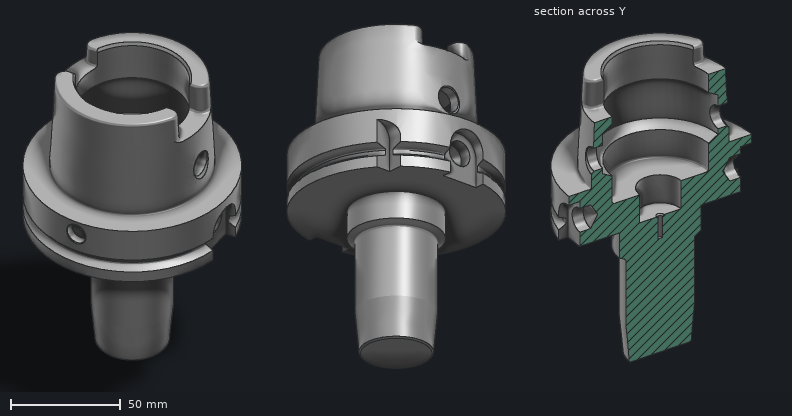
import cadquery as cq
import math


total_length = 149.9
top_z = 49.9
bottom_z = top_z - total_length

taper_top_radius = 35.4
taper_base_radius = 37.8
taper_base_z = 2.7
relief_radius = 37.6
relief_top_z = 1.8
relief_fillet = 0.9
face_groove_radius = 39.3
face_groove_depth = 0.1
rim_fillet = 1.8

bore_radius = 26.2
bore_chamfer_width = 0.9
bore_chamfer_height = 1.5
bore_mouth_depth = 20.0
undercut_radius = 31.5
undercut_angle = 30.0
undercut_bottom_z = 3.0
bore_depth = 61.9
bore_floor_z = top_z - bore_depth
bore_floor_fillet = 1.3

tube_hole_diameter = 22.5
tube_hole_depth = 15.0
coolant_hole_diameter = 2.4
coolant_sink_diameter = 3.9
coolant_hole_depth = 12.0

notch_half_width = 9.7
left_notch_depth = 10.0
right_notch_depth = 15.1
notch_corner_radius = 4.5
notch_floor_fillet = 1.8

cross_hole_diameter = 12.0
cross_hole_z = 15.0
cross_hole_chamfer = 0.9

flange_diameter = 100.0
flange_radius = flange_diameter / 2
flange_bottom_z = -29.0
groove_z = -20.0
groove_mouth_width = 6.9
groove_root_width = 3.0
groove_root_radius = 46.0
groove_fillet = 0.9

slot_radius = 9.9
slot_z = -14.8
slot_depth = 6.0
slot_hole_diameter = 12.5
slot_hole_depth = 6.0
drill_point_angle = 118.0

index_floor_x = -31.3
index_radius = 9.0
index_center_y = -index_floor_x + index_radius
index_center_z = slot_z + slot_radius - index_radius

pocket_diameter = 9.9
pocket_chamfer = 0.5
pocket_z = -7.0
pocket_depth = 4.5
vent_diameter = 1.3
vent_depth = 2.2

neck_radius = 22.5
neck_end_z = -42.3
shaft_radius = 18.9
shaft_start_z = -44.2
shaft_fillet = 1.0
nose_start_z = -79.7
nose_end_radius = 17.1
nose_chamfer = 0.7

pick_margin = 0.01


def turned(*points):
    """Solid of revolution about Z from an open (radius, z) outline, closed along the axis."""
    outline = [(0, points[0][1]), *points, (0, points[-1][1])]
    return cq.Workplane("YZ").polyline(outline).close().revolve(360, (0, 0, 0), (0, 1, 0))


def rod(radius, z_low, z_high):
    """Cylinder on the Z axis."""
    return cq.Workplane("XY", origin=(0, 0, z_low)).circle(radius).extrude(z_high - z_low)


def round_circle(body, radius, z, fillet_radius):
    """Fillet the full circular edge that has this radius and height."""
    box = cq.selectors.BoxSelector(
        (-radius - pick_margin, -radius - pick_margin, z - pick_margin),
        (radius + pick_margin, radius + pick_margin, z + pick_margin),
        boundingbox=True,
    )
    return body.edges(box).fillet(fillet_radius)


def round_notch_lines(body, z, fillet_radius):
    """Fillet the notch wall edges at height z; the rounding runs on along all tangent edges."""
    for y in (-notch_half_width, notch_half_width):
        box = cq.selectors.BoxSelector(
            (-taper_base_radius, y - pick_margin, z - pick_margin),
            (taper_base_radius, y + pick_margin, z + pick_margin),
            boundingbox=True,
        )
        body = body.edges(box).fillet(fillet_radius)
    return body


def make_shank():
    """Hollow taper with its two notches; every notch edge is rounded."""
    shank = turned(
        (relief_radius, -face_groove_depth),
        (relief_radius, relief_top_z),
        (taper_base_radius, taper_base_z),
        (taper_top_radius, top_z),
    )
    shank = shank.cut(rod(bore_radius, bore_floor_z, top_z))
    notch_floors = (top_z - left_notch_depth, top_z - right_notch_depth)
    for side, floor_z in zip((-1, 1), notch_floors):
        notch = cq.Workplane("XY").box(
            2 * taper_base_radius, 2 * notch_half_width, top_z - floor_z, centered=(True, True, False)
        )
        shank = shank.cut(notch.translate((side * taper_base_radius, 0, floor_z)))
    shank = shank.edges("%HYPERBOLA").fillet(notch_corner_radius)
    for floor_z in notch_floors:
        shank = round_notch_lines(shank, floor_z, notch_floor_fillet)
    return round_notch_lines(shank, top_z, rim_fillet)


def make_relief_fillet():
    """Fillet ring between the relieved foot of the taper and the floor of the face groove."""
    return (
        cq.Workplane("XZ")
        .moveTo(bore_radius, -face_groove_depth)
        .lineTo(relief_radius + relief_fillet, -face_groove_depth)
        .radiusArc((relief_radius, relief_fillet - face_groove_depth), relief_fillet)
        .lineTo(bore_radius, relief_fillet - face_groove_depth)
        .close()
        .revolve(360, (0, 0, 0), (0, 1, 0))
    )


def make_flange():
    """Flange disc with the gripper groove around it and a shallow dish that seats the shank."""
    half_mouth = groove_mouth_width / 2
    half_root = groove_root_width / 2
    flange = turned(
        (flange_radius, 0),
        (flange_radius, groove_z + half_mouth),
        (groove_root_radius, groove_z + half_root),
        (groove_root_radius, groove_z - half_root),
        (flange_radius, groove_z - half_mouth),
        (flange_radius, flange_bottom_z),
    )
    for z in (groove_z + half_root, groove_z - half_root):
        flange = round_circle(flange, groove_root_radius, z, groove_fillet)
    face_groove = turned(
        (relief_radius + relief_fillet, -face_groove_depth),
        (face_groove_radius, 0),
    )
    return flange.cut(face_groove)


def make_nose():
    """Neck, straight shaft and slightly tapered tip below the flange."""
    nose = turned(
        (neck_radius, flange_bottom_z),
        (neck_radius, neck_end_z),
        (shaft_radius, shaft_start_z),
        (shaft_radius, nose_start_z),
        (nose_end_radius, bottom_z + nose_chamfer),
        (nose_end_radius - nose_chamfer, bottom_z),
    )
    return round_circle(nose, shaft_radius, shaft_start_z, shaft_fillet)


def bore_cutter():
    """Bore with a chamfered mouth, a wider clamping undercut and a rounded floor."""
    shoulder_z = top_z - bore_mouth_depth
    shoulder_drop = (undercut_radius - bore_radius) * math.tan(math.radians(undercut_angle))
    bore = turned(
        (bore_radius + bore_chamfer_width, top_z),
        (bore_radius, top_z - bore_chamfer_height),
        (bore_radius, shoulder_z),
        (undercut_radius, shoulder_z - shoulder_drop),
        (undercut_radius, undercut_bottom_z + shoulder_drop),
        (bore_radius, undercut_bottom_z),
        (bore_radius, bore_floor_z),
    )
    return round_circle(bore, bore_radius, bore_floor_z, bore_floor_fillet)


def coolant_cutter():
    """Coolant tube hole with a small countersunk hole in its floor."""
    tube_floor_z = bore_floor_z - tube_hole_depth
    sink_depth = (coolant_sink_diameter - coolant_hole_diameter) / 2
    return turned(
        (tube_hole_diameter / 2, bore_floor_z),
        (tube_hole_diameter / 2, tube_floor_z),
        (coolant_sink_diameter / 2, tube_floor_z),
        (coolant_hole_diameter / 2, tube_floor_z - sink_depth),
        (coolant_hole_diameter / 2, tube_floor_z - coolant_hole_depth),
    )


def cross_hole_cutter():
    """Hole through both shank walls along X, countersunk where it leaves the taper."""
    taper_slope = (taper_base_radius - taper_top_radius) / (top_z - taper_base_z)
    wall_radius = taper_base_radius - taper_slope * (cross_hole_z - taper_base_z)
    hole_radius = cross_hole_diameter / 2
    inner_x = wall_radius - cross_hole_chamfer
    outer_x = taper_base_radius + cross_hole_chamfer
    outer_radius = hole_radius + outer_x - inner_x
    return (
        cq.Workplane("XY")
        .polyline(
            [
                (-outer_x, 0),
                (-outer_x, outer_radius),
                (-inner_x, hole_radius),
                (inner_x, hole_radius),
                (outer_x, outer_radius),
                (outer_x, 0),
            ]
        )
        .close()
        .revolve(360, (0, 0, 0), (1, 0, 0))
        .translate((0, 0, cross_hole_z))
    )


def round_top_slot(floor_x, center_y, center_z, radius):
    """Cutter for an arched slot that is open towards -X and through the flange bottom."""
    height = center_z - flange_bottom_z
    plane = cq.Workplane("YZ", origin=(floor_x, center_y, center_z))
    arch = plane.circle(radius).extrude(-flange_radius)
    channel = plane.center(0, -height / 2).rect(2 * radius, height).extrude(-flange_radius)
    return arch.union(channel)


def drive_slot_cutter():
    """Drive slot at -X with a drilled hole in its floor."""
    floor_x = slot_depth - flange_radius
    hole_radius = slot_hole_diameter / 2
    tip_length = hole_radius / math.tan(math.radians(drill_point_angle / 2))
    hole = (
        cq.Workplane("XY")
        .polyline(
            [
                (floor_x, 0),
                (floor_x, hole_radius),
                (floor_x + slot_hole_depth, hole_radius),
                (floor_x + slot_hole_depth + tip_length, 0),
            ]
        )
        .close()
        .revolve(360, (0, 0, 0), (1, 0, 0))
        .translate((0, 0, slot_z))
    )
    return round_top_slot(floor_x, 0, slot_z, slot_radius).union(hole)


def chip_pocket_cutter():
    """Chamfered round pocket at -Y with a tiny vent in its floor."""
    radius = pocket_diameter / 2
    mouth_y = -flange_radius
    floor_y = mouth_y + pocket_depth
    vent_end_y = floor_y + vent_depth
    return (
        cq.Workplane("XY")
        .polyline(
            [
                (0, mouth_y),
                (radius + pocket_chamfer, mouth_y),
                (radius, mouth_y + pocket_chamfer),
                (radius, floor_y),
                (vent_diameter / 2, floor_y),
                (vent_diameter / 2, vent_end_y),
                (0, vent_end_y),
            ]
        )
        .close()
        .revolve(360, (0, 0, 0), (0, 1, 0))
        .translate((0, 0, pocket_z))
    )


result = make_flange().union(make_nose()).union(make_shank()).union(make_relief_fillet())
result = result.cut(bore_cutter()).cut(coolant_cutter()).cut(cross_hole_cutter())
drive_slot = drive_slot_cutter()
result = result.cut(drive_slot).cut(drive_slot.rotate((0, 0, 0), (0, 0, 1), 180))
result = result.cut(round_top_slot(index_floor_x, index_center_y, index_center_z, index_radius))
result = result.cut(chip_pocket_cutter())